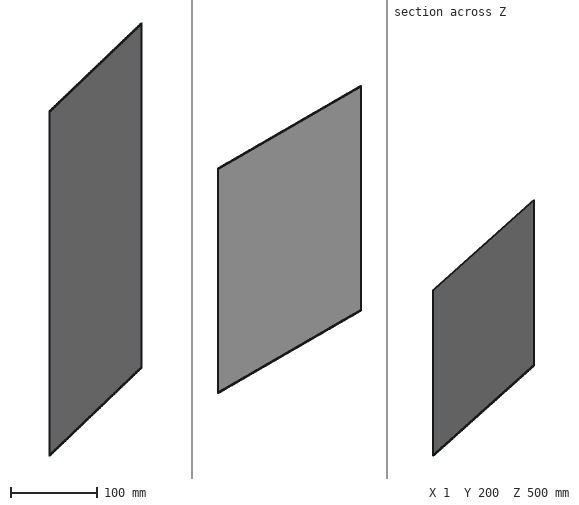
import cadquery as cq

thickness = 1.0
width = 200.0
height = 500.0

result = cq.Workplane("XY").box(thickness, width, height)